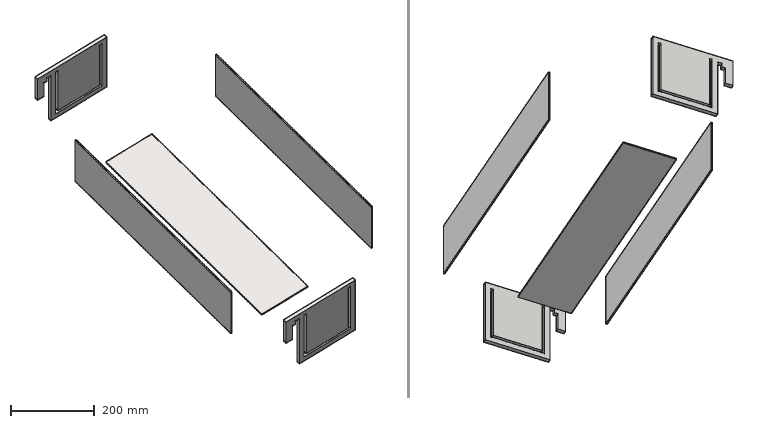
import cadquery as cq

overall_length = 966.0
overall_width = 430.0

end_thickness = 10.0
end_height = 186.0
end_width = 170.0
end_back_y = 34.0

hook_reach = 41.0
hook_thickness = 20.0
hook_drop = 79.0
hook_arm_height = 18.0
hook_step_width = 9.0
hook_step_drop = 12.0

slot_side_margin = 14.5
slot_end_margin = 15.0
slot_width = 7.0
slot_outer_width = end_width - 2 * slot_side_margin
slot_height = end_height - 2 * slot_end_margin

sheet_thickness = 4.0
slot_play = 1.0
sheet_length = 600.0
panel_height = slot_height - 2 * slot_play
floor_width = slot_outer_width - slot_play

end_front_y = end_back_y - end_width
floor_center_y = end_back_y - end_width / 2
sheet_center_x = 19.0
floor_bottom_z = slot_end_margin
panel_bottom_z = slot_end_margin + slot_play


def hooked_outline():
    """Y-Z outline of an end plate with its stepped hook."""
    tip_y = end_front_y - hook_reach
    inner_y = tip_y + hook_thickness
    arm_z = end_height - hook_arm_height
    step_z = arm_z - hook_step_drop
    hook_bottom_z = end_height - hook_drop
    return [
        (end_back_y, 0),
        (end_back_y, end_height),
        (tip_y, end_height),
        (tip_y, hook_bottom_z),
        (inner_y, hook_bottom_z),
        (inner_y, step_z),
        (inner_y + hook_step_width, step_z),
        (inner_y + hook_step_width, arm_z),
        (end_front_y, arm_z),
        (end_front_y, 0),
    ]


def slot_outline():
    """Y-Z outline of the U-shaped slot, open legs upward."""
    back_y = end_back_y - slot_side_margin
    front_y = end_front_y + slot_side_margin
    bottom_z = slot_end_margin
    top_z = bottom_z + slot_height
    return [
        (back_y, bottom_z),
        (back_y, top_z),
        (back_y - slot_width, top_z),
        (back_y - slot_width, bottom_z + slot_width),
        (front_y + slot_width, bottom_z + slot_width),
        (front_y + slot_width, top_z),
        (front_y, top_z),
        (front_y, bottom_z),
    ]


def make_end_plate(start_x):
    """Hooked plate with a through U slot, starting at start_x."""
    plane = cq.Workplane("YZ", origin=(start_x, 0, 0))
    plate = plane.polyline(hooked_outline()).close().extrude(end_thickness)
    slot = plane.polyline(slot_outline()).close().extrude(end_thickness)
    return plate.cut(slot)


def make_side_panel(center_y):
    """Upright sheet running along X."""
    return cq.Workplane("XY", origin=(sheet_center_x, center_y, panel_bottom_z)).box(
        sheet_length, sheet_thickness, panel_height, centered=(True, True, False)
    )


def make_floor():
    """Horizontal sheet level with the bottom of the slots."""
    return cq.Workplane("XY", origin=(sheet_center_x, floor_center_y, floor_bottom_z)).box(
        sheet_length, floor_width, sheet_thickness, centered=(True, True, False)
    )


end_starts = (-overall_length / 2, overall_length / 2 - end_thickness)
end_plates = [make_end_plate(start_x) for start_x in end_starts]

panel_offset = (overall_width - sheet_thickness) / 2
side_panels = [make_side_panel(side * panel_offset) for side in (-1, 1)]

floor = make_floor()

result = cq.Compound.makeCompound(
    [body.val() for body in [*end_plates, *side_panels, floor]]
)